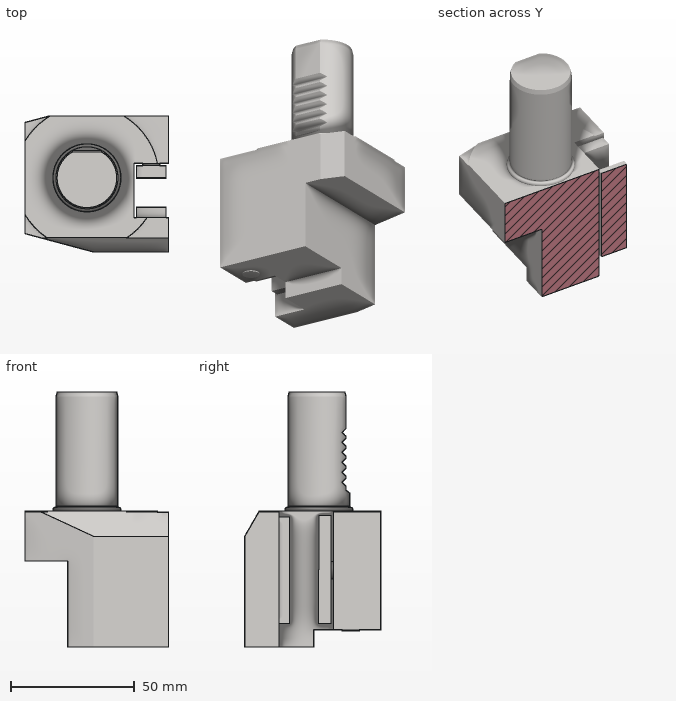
import cadquery as cq
import math


LEFT_X = -25.0
RIGHT_X = 33.0
FRONT_Y = -30.0
BACK_Y = 25.0
SIDE_TAPER = math.tan(math.radians(15))
FRONT_CORNER_X = 2.8
BACK_CORNER_X = -15.0

BODY_HEIGHT = 55.0
FLANGE_HEIGHT = 20.3
LOWER_BODY_LEFT_X = -7.8
STEP_HEIGHT = 7.0
STEP_Y = -2.1
BEVEL_WIDTH = 6.0
BEVEL_DROP = BEVEL_WIDTH * math.tan(math.radians(60))

FACE_RADIUS = 29.0
FACE_HEIGHT = 0.5

SLOT_X = 19.1
SLOT_FRONT_Y = -16.1
SLOT_BACK_Y = 5.9
PLATE_WIDTH = 12.0
PLATE_CENTER_X = 26.0
PLATE_END_GAP = 2.5
CLAMP_RISE = 0.5
SUPPORT_THICKNESS = 4.2
CLAMP_BACK_Y = 4.9
CLAMP_TOP_Y = 0.1
CLAMP_BOTTOM_Y = -0.2
PIN_DIAMETER = 7.0
PIN_EMBED = 2.1
PLUG_Y = 12.9
PLUG_HEIGHT = 0.4

SHANK_LENGTH = 48.0
SHANK_RADIUS = 25.0 / 2
TIP_CHAMFER_WIDTH = 0.5
TIP_CHAMFER_HEIGHT = 2.0
NECK_DEPTH = 0.5
NECK_TOP_Z = 2.0
FLAT_Y = 11.0
LEDGE_BOTTOM_Z = 7.1
LEDGE_TOP_Z = 8.2
TOOTH_COUNT = 6
TOOTH_PITCH = 4.0
TOOTH_DEPTH = 1.6
FIRST_TOOTH_Z = 11.5

RING_DIAMETER = 27.5
RING_SECTION = 2.1
RING_CENTER_Z = 0.4


def box(x_range, y_range, z_range):
    """Box given by its limits along each axis."""
    limits = (x_range, y_range, z_range)
    size = [high - low for low, high in limits]
    return cq.Workplane("XY").box(*size, centered=False).translate([low for low, _ in limits])


def along_x(points, start_x, end_x):
    """Prism of a (Y, Z) outline between two X positions."""
    return cq.Workplane("YZ", origin=(start_x, 0, 0)).polyline(points).close().extrude(end_x - start_x)


def make_body():
    front_left_y = FRONT_Y + (FRONT_CORNER_X - LEFT_X) * SIDE_TAPER
    back_left_y = BACK_Y - (BACK_CORNER_X - LEFT_X) * SIDE_TAPER
    outline = [
        (LEFT_X, front_left_y),
        (FRONT_CORNER_X, FRONT_Y),
        (RIGHT_X, FRONT_Y),
        (RIGHT_X, BACK_Y),
        (BACK_CORNER_X, BACK_Y),
        (LEFT_X, back_left_y),
    ]
    base = cq.Workplane("XY", origin=(0, 0, -BODY_HEIGHT)).polyline(outline).close()
    body = base.extrude(BODY_HEIGHT)

    lowered = box((LEFT_X, RIGHT_X), (FRONT_Y, BACK_Y), (-FACE_HEIGHT, 0))
    face = cq.Workplane("XY", origin=(0, 0, -FACE_HEIGHT)).circle(FACE_RADIUS).extrude(FACE_HEIGHT)
    body = body.cut(lowered.cut(face))

    under_flange = box((LEFT_X, LOWER_BODY_LEFT_X), (FRONT_Y, BACK_Y), (-BODY_HEIGHT, -FLANGE_HEIGHT))
    back_step = box((LEFT_X, RIGHT_X), (STEP_Y, BACK_Y), (-BODY_HEIGHT, STEP_HEIGHT - BODY_HEIGHT))
    slot = box((SLOT_X, RIGHT_X), (SLOT_FRONT_Y, SLOT_BACK_Y), (-BODY_HEIGHT, 0))
    bevel = along_x(
        [(FRONT_Y, 0), (FRONT_Y + BEVEL_WIDTH, 0), (FRONT_Y, -BEVEL_DROP)],
        LEFT_X,
        RIGHT_X,
    )
    return body.cut(under_flange).cut(back_step).cut(slot).cut(bevel)


def make_clamping_parts():
    left_x = PLATE_CENTER_X - PLATE_WIDTH / 2
    right_x = PLATE_CENTER_X + PLATE_WIDTH / 2
    top_z = -PLATE_END_GAP
    clamp_top_z = top_z + CLAMP_RISE
    back_bottom_z = STEP_HEIGHT - BODY_HEIGHT
    bottom_z = back_bottom_z + PLATE_END_GAP

    support = box((left_x, right_x), (SLOT_FRONT_Y, SLOT_FRONT_Y + SUPPORT_THICKNESS), (bottom_z, top_z))
    clamp_section = [
        (CLAMP_BACK_Y, clamp_top_z),
        (CLAMP_TOP_Y, clamp_top_z),
        (CLAMP_BOTTOM_Y, bottom_z),
        (CLAMP_BACK_Y, bottom_z),
    ]
    clamp = along_x(clamp_section, left_x, right_x)

    pin_end_y = SLOT_BACK_Y + PIN_EMBED
    pin = (
        cq.Workplane("XZ", origin=(PLATE_CENTER_X, pin_end_y, (top_z + bottom_z) / 2))
        .circle(PIN_DIAMETER / 2)
        .extrude(pin_end_y - CLAMP_BACK_Y + PIN_EMBED)
    )

    plug = (
        cq.Workplane("XY", origin=(PLATE_CENTER_X, PLUG_Y, back_bottom_z - PLUG_HEIGHT))
        .circle(PIN_DIAMETER / 2)
        .extrude(PLUG_HEIGHT + PIN_EMBED)
    )
    return [support, clamp, pin, plug]


def make_shank():
    neck_radius = SHANK_RADIUS - NECK_DEPTH
    profile = [
        (0, -FACE_HEIGHT),
        (neck_radius, -FACE_HEIGHT),
        (neck_radius, NECK_TOP_Z - NECK_DEPTH),
        (SHANK_RADIUS, NECK_TOP_Z),
        (SHANK_RADIUS, SHANK_LENGTH - TIP_CHAMFER_HEIGHT),
        (SHANK_RADIUS - TIP_CHAMFER_WIDTH, SHANK_LENGTH),
        (0, SHANK_LENGTH),
    ]
    shank = cq.Workplane("XZ").polyline(profile).close().revolve(360, (0, 0), (0, 1))

    flat_section = [
        (SHANK_RADIUS, LEDGE_BOTTOM_Z),
        (FLAT_Y, LEDGE_TOP_Z),
        (FLAT_Y, SHANK_LENGTH - TIP_CHAMFER_HEIGHT),
        (FLAT_Y - TIP_CHAMFER_WIDTH, SHANK_LENGTH),
        (SHANK_RADIUS, SHANK_LENGTH),
    ]
    shank = shank.cut(along_x(flat_section, -SHANK_RADIUS, SHANK_RADIUS))

    for index in range(TOOTH_COUNT):
        z = FIRST_TOOTH_Z + index * TOOTH_PITCH
        groove = [
            (FLAT_Y, z - TOOTH_DEPTH),
            (FLAT_Y - TOOTH_DEPTH, z),
            (FLAT_Y, z + TOOTH_DEPTH),
        ]
        shank = shank.cut(along_x(groove, -SHANK_RADIUS, SHANK_RADIUS))
    return shank


def make_sealing_ring():
    section_radius = RING_SECTION / 2
    center_radius = RING_DIAMETER / 2 - section_radius
    return (
        cq.Workplane("XZ")
        .center(center_radius, RING_CENTER_Z)
        .circle(section_radius)
        .revolve(360, (-center_radius, 0), (-center_radius, 1))
    )


result = make_body()
for piece in [make_shank(), make_sealing_ring(), *make_clamping_parts()]:
    result = result.union(piece)